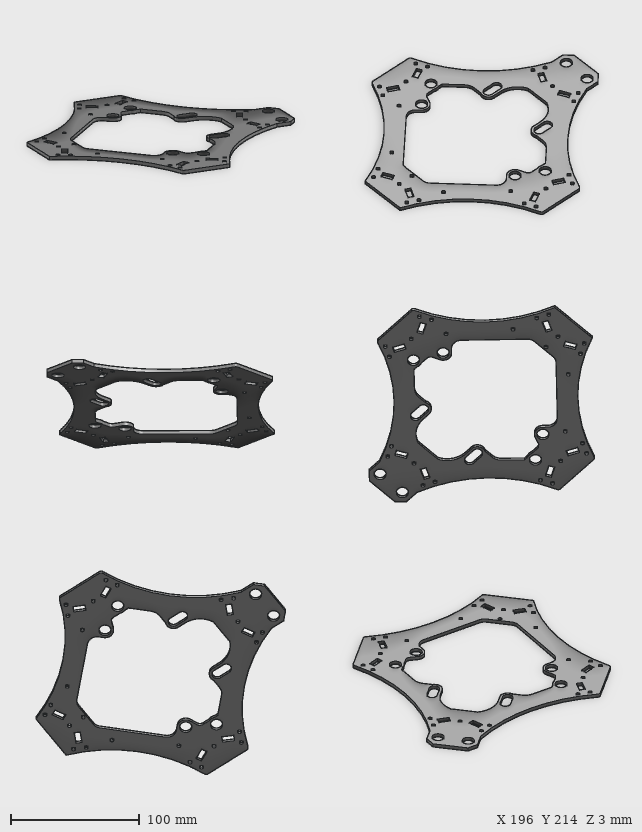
import cadquery as cq
import math

length = 214.0
width = 196.0
thickness = 3.0
half_width = width / 2
bottom_y = -length / 2
top_y = length / 2
frame_y = bottom_y + half_width

arm_tip_half = 20.1
scallop_depth = 12.2
tab_chamfer = 6.2
side_corner_radius = 2.1

pin_diameter = 3.0
outer_pin = (90.0, 19.0)
inner_pin = (81.3, 23.5)
arm_axis_pin = 80.5
strap_slot = (81.3, 12.6)
strap_slot_length = 9.5
strap_slot_width = 4.7
strap_slot_tilt = 27.0
arm_angles = (0, 90, 180, 270)

lower_pins = ((64.2, -31.0), (29.7, -70.2))
bottom_axis_pin = (0.0, -76.2)

mount_diameter = 9.5
tab_mount = (12.0, 97.0)
upper_mount = (65.7, 3.9)
lower_mount = (53.7, -17.0)
mount_boss_radius = 6.6
long_slot = (29.0, 35.0)
long_slot_length = 16.7
long_slot_width = 8.1
slot_boss_radius = 6.2

opening_top = 55.9
opening_bottom = -73.6
opening_half_width = 59.5
top_flat_half = 10.7
bottom_flat_half = 13.0
top_arc_radius = 20.1
shoulder_y = 25.3
upper_diagonal_sum = 69.1
pocket_slope = 22.0
corner_radius = 7.5
shoulder_radius = 10.7
pocket_radius = 4.3


def both_sides(point):
    """The point and its mirror image across the Y axis."""
    x, y = point
    return [(x, y), (-x, y)]


def on_circle(center, radius, degrees):
    """Point of a circle in the given direction."""
    angle = math.radians(degrees)
    return (center[0] + radius * math.cos(angle), center[1] + radius * math.sin(angle))


def cylinders(points, diameter):
    """Cylinders through the full plate thickness."""
    return cq.Workplane("XY").pushPoints(points).circle(diameter / 2).extrude(thickness)


def round_corner(outline, before, corner, after, radius):
    """Continue an outline to a corner and around it with a tangent arc."""
    back = math.atan2(before[1] - corner[1], before[0] - corner[0])
    ahead = math.atan2(after[1] - corner[1], after[0] - corner[0])
    half_angle = math.acos(math.cos(ahead - back)) / 2
    bisector = math.atan2(math.sin(back) + math.sin(ahead), math.cos(back) + math.cos(ahead))
    reach = radius / math.tan(half_angle)
    middle = radius / math.sin(half_angle) - radius
    start = on_circle(corner, reach, math.degrees(back))
    end = on_circle(corner, reach, math.degrees(ahead))
    return outline.lineTo(*start).threePointArc(on_circle(corner, middle, math.degrees(bisector)), end)


def frame_plate():
    """Four-armed plate with concave sides and a chamfered tab on the top arm."""
    low_y = frame_y - arm_tip_half
    high_y = frame_y + arm_tip_half
    arm_top_y = frame_y + half_width
    scallop_mid = (half_width + arm_tip_half) / 2 - scallop_depth / math.sqrt(2)
    half = (
        cq.Workplane("XY")
        .moveTo(0, bottom_y)
        .lineTo(arm_tip_half, bottom_y)
        .threePointArc((scallop_mid, frame_y - scallop_mid), (half_width, low_y))
        .lineTo(half_width, high_y)
        .threePointArc((scallop_mid, frame_y + scallop_mid), (arm_tip_half, arm_top_y))
        .lineTo(arm_tip_half, top_y - tab_chamfer)
        .lineTo(arm_tip_half - tab_chamfer, top_y)
        .lineTo(0, top_y)
        .close()
        .extrude(thickness)
    )
    plate = half.union(half.mirror("YZ"))
    return plate.edges("|Z and (>X or <X)").fillet(side_corner_radius)


def central_opening():
    """Opening with straight chords where the bosses stand; the bosses are added later."""
    slot_end = (long_slot[0], long_slot[1] - (long_slot_length - long_slot_width) / 2)
    slot_side = (slot_end[0] - slot_boss_radius, slot_end[1])
    top_flat_end = (top_flat_half, opening_top)
    arc_center_x = slot_side[0] - top_arc_radius
    arc_rise = math.sqrt(top_arc_radius**2 - (top_flat_half - arc_center_x) ** 2)
    arc_center = (arc_center_x, opening_top - arc_rise)
    arc_start_angle = math.degrees(math.atan2(arc_rise, top_flat_half - arc_center_x))

    shoulder_start = (slot_end[0], shoulder_y)
    shoulder = (upper_diagonal_sum - shoulder_y, shoulder_y)
    side_top = (opening_half_width, upper_diagonal_sum - opening_half_width)
    boss_upper = on_circle(lower_mount, mount_boss_radius, 90 + pocket_slope)
    boss_lower = on_circle(lower_mount, mount_boss_radius, 225)
    pocket_rise = (opening_half_width - boss_upper[0]) * math.tan(math.radians(pocket_slope))
    side_bottom = (opening_half_width, boss_upper[1] + pocket_rise)
    bottom_corner = (bottom_flat_half, opening_bottom)
    falling_sum = sum(boss_lower)
    diagonal_difference = bottom_flat_half - opening_bottom
    square_corner = (
        (falling_sum + diagonal_difference) / 2,
        (falling_sum - diagonal_difference) / 2,
    )
    bottom_middle = (0, opening_bottom)

    outline = (
        cq.Workplane("XY")
        .moveTo(0, opening_top)
        .lineTo(*top_flat_end)
        .threePointArc(
            on_circle(arc_center, top_arc_radius, arc_start_angle / 2),
            (slot_side[0], arc_center[1]),
        )
        .lineTo(*slot_side)
        .lineTo(*shoulder_start)
    )
    outline = round_corner(outline, shoulder_start, shoulder, side_top, shoulder_radius)
    outline = outline.lineTo(*side_top)
    outline = round_corner(outline, side_top, side_bottom, boss_upper, pocket_radius)
    outline = outline.lineTo(*boss_upper).lineTo(*boss_lower)
    outline = round_corner(outline, boss_lower, square_corner, bottom_corner, corner_radius)
    outline = round_corner(outline, square_corner, bottom_corner, bottom_middle, corner_radius)
    half = outline.lineTo(*bottom_middle).close().extrude(thickness)
    return half.union(half.mirror("YZ"))


def long_slots(slot_length, slot_width):
    """Two round-ended solids standing along Y at the long slot places."""
    return (
        cq.Workplane("XY")
        .pushPoints(both_sides(long_slot))
        .slot2D(slot_length, slot_width, 90)
        .extrude(thickness)
    )


def hole_bosses():
    """Rims that keep material around the holes beside the central opening."""
    mounts = both_sides(upper_mount) + both_sides(lower_mount)
    wall = 2 * slot_boss_radius - long_slot_width
    slot_rims = long_slots(long_slot_length + wall, 2 * slot_boss_radius)
    return cylinders(mounts, 2 * mount_boss_radius).union(slot_rims)


def arm_cuts(angle):
    """Pin holes and tilted strap slots of the arm pointing in the given direction."""
    pins = [(arm_axis_pin, 0)]
    for distance, side in (outer_pin, inner_pin):
        pins += [(distance, side), (distance, -side)]
    cuts = cylinders(pins, pin_diameter)
    for side in (1, -1):
        slot = (
            cq.Workplane("XY")
            .rect(strap_slot_length, strap_slot_width)
            .extrude(thickness)
            .rotate((0, 0, 0), (0, 0, 1), side * (90 - strap_slot_tilt))
            .translate((strap_slot[0], side * strap_slot[1], 0))
        )
        cuts = cuts.union(slot)
    return cuts.rotate((0, 0, 0), (0, 0, 1), angle).translate((0, frame_y, 0))


plate = frame_plate().cut(central_opening()).union(hole_bosses())

mount_points = both_sides(tab_mount) + both_sides(upper_mount) + both_sides(lower_mount)
plate = plate.cut(cylinders(mount_points, mount_diameter))
plate = plate.cut(long_slots(long_slot_length, long_slot_width))

extra_pins = [bottom_axis_pin]
for pin in lower_pins:
    extra_pins += both_sides(pin)
plate = plate.cut(cylinders(extra_pins, pin_diameter))

for arm_angle in arm_angles:
    plate = plate.cut(arm_cuts(arm_angle))

result = plate